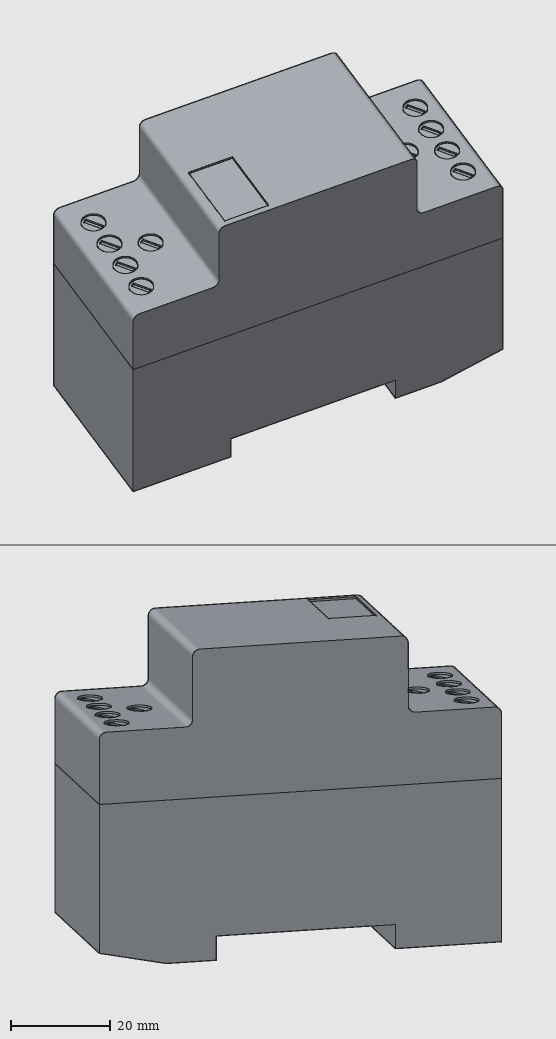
import cadquery as cq

WIDTH = 35.0
DEPTH = 84.0
HEIGHT = 65.0

SPLIT_HEIGHT = 34.0
SHOULDER_HEIGHT = 49.0
TOWER_DEPTH = 45.0
EDGE_RADIUS = 1.5

RAIL_FRONT = -19.8
RAIL_BACK = 17.55
RAIL_HEIGHT = 5.0
BEVEL_LENGTH = 14.0
BEVEL_HEIGHT = 3.0

SCREW_DIAMETER = 5.0
SCREW_RECESS = 0.4
SCREW_PITCH = WIDTH / 5
ROW_SCREW_COUNT = 4
ROW_OFFSET = 36.5
SINGLE_OFFSET = 29.0
DRIVE_LENGTH = 4.0
DRIVE_WIDTH = 1.0
DRIVE_DEPTH = 0.4
DRIVE_ANGLE = 35.0

WINDOW_LENGTH = 16.0
WINDOW_DEPTH = 10.0
WINDOW_CENTER = (8.2, -15.5)
WINDOW_RECESS = 0.4


def extrude_profile(points):
    """Close a (Y, Z) outline and extrude it over the full width."""
    return cq.Workplane("YZ").polyline(points).close().extrude(WIDTH / 2, both=True)


def make_base():
    """Lower housing with the rail channel and the sloped back underside."""
    front = -DEPTH / 2
    back = DEPTH / 2
    return extrude_profile([
        (front, 0),
        (RAIL_FRONT, 0),
        (RAIL_FRONT, RAIL_HEIGHT),
        (RAIL_BACK, RAIL_HEIGHT),
        (RAIL_BACK, 0),
        (back - BEVEL_LENGTH, 0),
        (back, BEVEL_HEIGHT),
        (back, SPLIT_HEIGHT),
        (front, SPLIT_HEIGHT),
    ])


def make_cover_block():
    """Stepped cover with every upper edge and inner corner rounded."""
    block = (
        cq.Workplane("XY", origin=(0, 0, SPLIT_HEIGHT))
        .box(WIDTH, DEPTH, SHOULDER_HEIGHT - SPLIT_HEIGHT, centered=(True, True, False))
    )
    tower = (
        cq.Workplane("XY", origin=(0, 0, SPLIT_HEIGHT))
        .box(WIDTH, TOWER_DEPTH, HEIGHT - SPLIT_HEIGHT, centered=(True, True, False))
    )
    above_joint = cq.selectors.BoxSelector(
        (-WIDTH, -DEPTH, SPLIT_HEIGHT + EDGE_RADIUS),
        (WIDTH, DEPTH, HEIGHT + EDGE_RADIUS),
    )
    return block.union(tower).edges("|X").edges(above_joint).fillet(EDGE_RADIUS)


def screw_positions():
    """Centres of a screw row and a single screw on each shoulder."""
    positions = []
    for side in (-1, 1):
        positions.append((0, side * SINGLE_OFFSET))
        for index in range(ROW_SCREW_COUNT):
            x = (index - (ROW_SCREW_COUNT - 1) / 2) * SCREW_PITCH
            positions.append((x, side * ROW_OFFSET))
    return positions


def make_drive():
    """Angled driver slot, reaching down from Z = 0."""
    slot = cq.Workplane("XY").rect(DRIVE_LENGTH, DRIVE_WIDTH).extrude(-DRIVE_DEPTH)
    return slot.rotate((0, 0, 0), (0, 0, 1), DRIVE_ANGLE).val()


def cut_screws(cover):
    """Sink the round screw heads and cut a driver slot in each."""
    centers = screw_positions()
    heads = (
        cq.Workplane("XY", origin=(0, 0, SHOULDER_HEIGHT))
        .pushPoints(centers)
        .circle(SCREW_DIAMETER / 2)
        .extrude(-SCREW_RECESS)
    )
    drives = (
        cq.Workplane("XY", origin=(0, 0, SHOULDER_HEIGHT - SCREW_RECESS))
        .pushPoints(centers)
        .eachpoint(lambda place: make_drive().moved(place))
    )
    return cover.cut(heads).cut(drives)


def cut_window(cover):
    """Shallow rectangular label window in the top face."""
    window = (
        cq.Workplane("XY", origin=(0, 0, HEIGHT))
        .center(*WINDOW_CENTER)
        .rect(WINDOW_LENGTH, WINDOW_DEPTH)
        .extrude(-WINDOW_RECESS)
    )
    return cover.cut(window)


base = make_base()
cover = cut_window(cut_screws(make_cover_block()))

result = cq.Compound.makeCompound([base.val(), cover.val()])